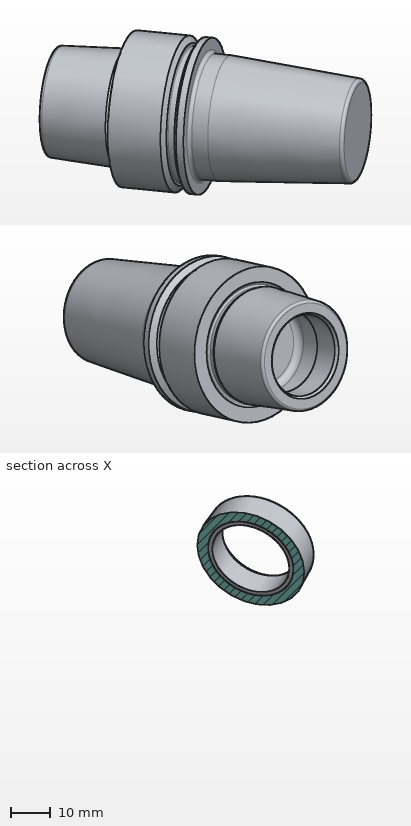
import cadquery as cq
import math

total_length = 79.9

shank_end_radius = 14.3
shank_rounding = 0.7
taper_end = 17.8
taper_radius = 15.2
neck_start = 18.5
neck_radius = 14.9

flange_radius = 20.015
flange_start = 19.8
flange_end = 39.8

relief_mouth_radius = 16.05
relief_wall_angle = math.radians(30)
relief_rounding = 0.4

groove_start = 33.7
groove_end = 37.9
groove_wall_start = 34.75
groove_wall_end = groove_end - (groove_wall_start - groove_start)
groove_slope_angle = math.radians(60)
groove_floor_radius = 17.4
groove_rounding = 0.2

collar_radius = 16.05
collar_end = 45.0
collar_rounding = 1.0
nose_tip_radius = 13.4
nose_rounding = 0.95

bore_radius = 10.5
bore_chamfer_radius = 11.0
bore_chamfer_length = 0.9
bore_end = 7.8
chamber_radius = 11.6
chamber_end = 14.7
bore_floor_radius = 9.8
floor_rounding = chamber_radius - bore_floor_radius
bore_floor_depth = chamber_end + floor_rounding


relief_wall_radius = neck_radius + relief_rounding * (1 + math.sin(relief_wall_angle))
relief_wall_depth = (relief_mouth_radius - relief_wall_radius) * math.tan(relief_wall_angle)
relief_wall_x = flange_start + relief_wall_depth
relief_neck_x = relief_wall_x - relief_rounding * math.cos(relief_wall_angle)

groove_wall_radius = flange_radius - (groove_wall_start - groove_start) * math.tan(groove_slope_angle)


def make_body():
    return (
        cq.Workplane("XY")
        .moveTo(0, 0)
        .lineTo(0, shank_end_radius - shank_rounding)
        .radiusArc((shank_rounding, shank_end_radius), shank_rounding)
        .lineTo(taper_end, taper_radius)
        .lineTo(neck_start, neck_radius)
        .lineTo(relief_neck_x, neck_radius)
        .radiusArc((relief_wall_x, relief_wall_radius), -relief_rounding)
        .lineTo(flange_start, relief_mouth_radius)
        .lineTo(flange_start, flange_radius)
        .lineTo(groove_start, flange_radius)
        .lineTo(groove_wall_start, groove_wall_radius)
        .lineTo(groove_wall_start, groove_floor_radius + groove_rounding)
        .radiusArc((groove_wall_start + groove_rounding, groove_floor_radius), -groove_rounding)
        .lineTo(groove_wall_end - groove_rounding, groove_floor_radius)
        .radiusArc((groove_wall_end, groove_floor_radius + groove_rounding), -groove_rounding)
        .lineTo(groove_wall_end, groove_wall_radius)
        .lineTo(groove_end, flange_radius)
        .lineTo(flange_end, flange_radius)
        .lineTo(flange_end, collar_radius + collar_rounding)
        .radiusArc((flange_end + collar_rounding, collar_radius), -collar_rounding)
        .lineTo(collar_end, collar_radius)
        .lineTo(total_length - nose_rounding, nose_tip_radius)
        .radiusArc((total_length, nose_tip_radius - nose_rounding), nose_rounding)
        .lineTo(total_length, 0)
        .close()
        .revolve(360, (0, 0, 0), (1, 0, 0))
    )


def make_bore():
    return (
        cq.Workplane("XY")
        .moveTo(0, 0)
        .lineTo(0, bore_chamfer_radius)
        .lineTo(bore_chamfer_length, bore_radius)
        .lineTo(bore_end, bore_radius)
        .lineTo(bore_end, chamber_radius)
        .lineTo(chamber_end, chamber_radius)
        .radiusArc((bore_floor_depth, bore_floor_radius), floor_rounding)
        .lineTo(bore_floor_depth, 0)
        .close()
        .revolve(360, (0, 0, 0), (1, 0, 0))
    )


result = make_body().cut(make_bore())